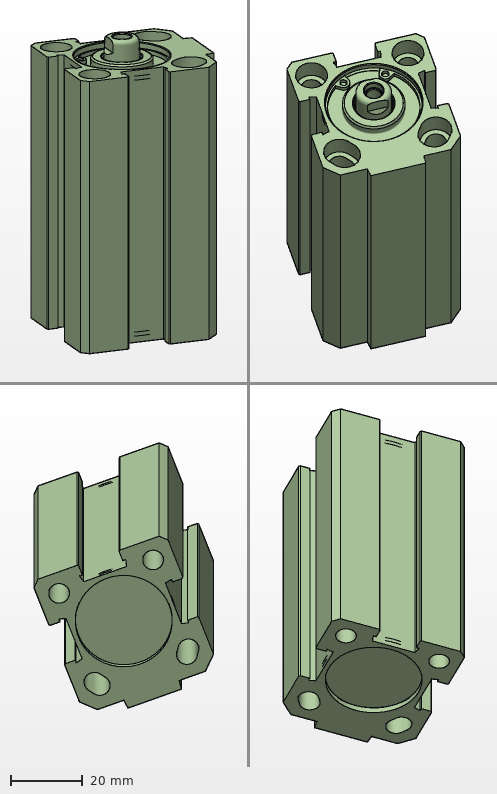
import cadquery as cq
import math


total_height = 85.0
body_height = 79.5
body_half_width = 20.02
body_back_y = 21.9

tab_top_y = 24.52
tab_top_half_width = 8.0
tab_base_half_width = 8.25
front_corner_chamfer = 1.95
back_corner_chamfer = 3.9

slot_mouth_half_width = 6.0
slot_mouth_chamfer = 0.3
slot_undercut_half_width = 6.9
slot_floor_half_width = 6.4
slot_lip_depth = 3.2
slot_floor_depth = 5.2

mount_offset = 14.0
mount_hole_diameter = 5.8
counterbore_diameter = 8.8
counterbore_depth = 5.8
slot_travel_x = 1.0
slot_travel_y = 1.45

bore_diameter = 27.0
bore_rim_chamfer = 0.25
groove_diameter = 29.4
ring_thickness = 1.2
ring_top_depth = 1.8
flange_top_depth = ring_top_depth + ring_thickness

ring_outer_diameter = 28.4
ring_inner_diameter = 25.8
ring_turn = -1.4
ear_angle = 30.6
ear_center_radius = 11.9
ear_radius = 1.8
ear_hole_diameter = 2.0
ear_root_angle = 41.0

gap_angle = ear_angle - math.degrees(math.asin(ear_radius / ear_center_radius))

cover_diameter = 26.9
cover_bottom_depth = 12.75
boss_diameter = 17.5
boss_top_depth = 0.25
boss_chamfer = 0.5
boss_root_fillet = 0.3
cover_hole_diameter = 10.45
wiper_recess_diameter = 11.4
wiper_recess_depth = 1.0
wiper_recess_chamfer = 0.25
cover_hole_chamfer = 0.25

rod_diameter = 10.0
rod_end_fillet = 1.3
flats_width = 8.0
flats_bottom_height = 1.95
rod_recess_diameter = 5.3
rod_recess_depth = 2.1
rod_recess_chamfer = 0.25
tap_hole_chamfer = 0.25
tap_hole_diameter = 4.2
tap_hole_depth = 10.2
drill_point_angle = 118.0


def cylinder(diameter, bottom, top):
    return cq.Workplane("XY").workplane(offset=bottom).circle(diameter / 2).extrude(top - bottom)


def countersink(hole_diameter, chamfer, top):
    """45 degree cone that chamfers the upper rim of a hole on the Z axis."""
    radius = hole_diameter / 2
    cone = cq.Solid.makeCone(radius, radius + chamfer, chamfer, pnt=cq.Vector(0, 0, top - chamfer))
    return cq.Workplane(obj=cone)


def half_outline():
    """Right half of the housing outline, from the front slot up to the tab, without the side slot."""
    return [
        (0, -body_half_width),
        (body_half_width - front_corner_chamfer, -body_half_width),
        (body_half_width, -body_half_width + front_corner_chamfer),
        (body_half_width, body_back_y - back_corner_chamfer),
        (body_half_width - back_corner_chamfer, body_back_y),
        (tab_base_half_width, body_back_y),
        (tab_top_half_width, tab_top_y),
        (0, tab_top_y),
    ]


def sensor_slot(turn):
    """Undercut slot along the full height of the front face, turned about Z to another face."""
    face = -body_half_width
    half = [
        (slot_mouth_half_width + slot_mouth_chamfer, face),
        (slot_mouth_half_width, face + slot_mouth_chamfer),
        (slot_mouth_half_width, face + slot_lip_depth),
        (slot_undercut_half_width, face + slot_lip_depth),
        (slot_floor_half_width, face + slot_floor_depth),
    ]
    mirrored = [(-x, y) for x, y in reversed(half)]
    slot = cq.Workplane("XY").polyline(half + mirrored).close().extrude(body_height)
    return slot.rotate((0, 0, 0), (0, 0, 1), turn)


def stretched_hole(side, diameter, bottom):
    """Slotted hole in a back corner, open at the top of the housing."""
    length = math.hypot(slot_travel_x, slot_travel_y) + diameter
    angle = math.degrees(math.atan2(slot_travel_y, -side * slot_travel_x))
    center = (side * (mount_offset - slot_travel_x / 2), mount_offset + slot_travel_y / 2)
    return (
        cq.Workplane("XY").workplane(offset=bottom).center(*center)
        .slot2D(length, diameter, angle).extrude(body_height - bottom)
    )


def round_hole(side, diameter, bottom):
    """Round hole in a front corner, open at the top of the housing."""
    return cylinder(diameter, bottom, body_height).translate((side * mount_offset, -mount_offset, 0))


def make_housing():
    right = half_outline()
    left = [(-x, y) for x, y in reversed(right[1:-1])]
    housing = cq.Workplane("XY").polyline(right + left).close().extrude(body_height)
    for turn in (-90, 0, 90):
        housing = housing.cut(sensor_slot(turn))
    counterbore_floor = body_height - counterbore_depth
    for side in (-1, 1):
        for corner_hole in (round_hole, stretched_hole):
            housing = housing.cut(corner_hole(side, mount_hole_diameter, 0))
            housing = housing.cut(corner_hole(side, counterbore_diameter, counterbore_floor))
    housing = housing.cut(cylinder(bore_diameter, body_height - cover_bottom_depth, body_height))
    housing = housing.cut(countersink(bore_diameter, bore_rim_chamfer, body_height))
    housing = housing.cut(cylinder(bore_diameter, 0, flange_top_depth))
    for groove_bottom in (ring_top_depth, body_height - flange_top_depth):
        housing = housing.cut(cylinder(groove_diameter, groove_bottom, groove_bottom + ring_thickness))
    return housing


def polar(radius, angle):
    """Point at an angle in degrees from -Y, positive towards +X."""
    return (radius * math.sin(math.radians(angle)), -radius * math.cos(math.radians(angle)))


def make_ear(bottom, top):
    """Right-hand ear of the snap ring: a round pad with a web that runs into the ring."""
    outer = ring_outer_diameter / 2
    inner = ring_inner_diameter / 2
    middle = (inner + outer) / 2
    center = polar(ear_center_radius, ear_angle)
    root = polar(inner, ear_root_angle)
    toward_root = math.atan2(root[1] - center[1], root[0] - center[0])
    tangent_angle = toward_root + math.acos(ear_radius / math.dist(root, center))
    tangent = (
        center[0] + ear_radius * math.cos(tangent_angle),
        center[1] + ear_radius * math.sin(tangent_angle),
    )
    gap_tangent = polar(math.sqrt(ear_center_radius**2 - ear_radius**2), gap_angle)
    web_outline = [center, tangent, root, polar(middle, ear_angle), polar(middle, gap_angle), gap_tangent]
    web = cq.Workplane("XY").workplane(offset=bottom).polyline(web_outline).close().extrude(top - bottom)
    pad = cylinder(2 * ear_radius, bottom, top).translate((*center, 0))
    hole = cylinder(ear_hole_diameter, bottom, top).translate((*center, 0))
    return web.union(pad).cut(hole)


def make_ring():
    bottom = body_height - flange_top_depth
    top = body_height - ring_top_depth
    ring = cylinder(ring_outer_diameter, bottom, top).cut(cylinder(ring_inner_diameter, bottom, top))
    gap_outline = [
        (0, 0),
        polar(ring_outer_diameter, -gap_angle),
        polar(ring_outer_diameter, gap_angle),
    ]
    gap = cq.Workplane("XY").workplane(offset=bottom).polyline(gap_outline).close().extrude(ring_thickness)
    ear = make_ear(bottom, top)
    ring = ring.cut(gap).union(ear).union(ear.mirror("YZ"))
    return ring.rotate((0, 0, 0), (0, 0, 1), ring_turn)


def make_cover():
    bottom = body_height - cover_bottom_depth
    flange_top = body_height - flange_top_depth
    boss_top = body_height - boss_top_depth
    boss_radius = boss_diameter / 2
    sag = boss_root_fillet * (1 - math.sqrt(0.5))
    cover = (
        cq.Workplane("XZ")
        .moveTo(0, bottom)
        .lineTo(cover_diameter / 2, bottom)
        .lineTo(cover_diameter / 2, flange_top)
        .lineTo(boss_radius + boss_root_fillet, flange_top)
        .threePointArc((boss_radius + sag, flange_top + sag), (boss_radius, flange_top + boss_root_fillet))
        .lineTo(boss_radius, boss_top - boss_chamfer)
        .lineTo(boss_radius - boss_chamfer, boss_top)
        .lineTo(0, boss_top)
        .close().revolve(360, (0, 0), (0, 1))
    )
    recess_floor = boss_top - wiper_recess_depth
    cover = cover.cut(cylinder(cover_hole_diameter, bottom, boss_top))
    cover = cover.cut(countersink(cover_hole_diameter, cover_hole_chamfer, recess_floor))
    cover = cover.cut(cylinder(wiper_recess_diameter, recess_floor, boss_top))
    return cover.cut(countersink(wiper_recess_diameter, wiper_recess_chamfer, boss_top))


def make_rod():
    rod = cylinder(rod_diameter, body_height - cover_bottom_depth, total_height)
    rod = rod.faces(">Z").edges().fillet(rod_end_fillet)
    half_flats = flats_width / 2
    flats_bottom = body_height + flats_bottom_height
    flat_outline = [
        (half_flats, total_height),
        (half_flats, flats_bottom),
        (rod_diameter, flats_bottom - (rod_diameter - half_flats)),
        (rod_diameter, total_height),
    ]
    flat_cut = cq.Workplane("YZ").polyline(flat_outline).close().extrude(rod_diameter, both=True)
    rod = rod.cut(flat_cut).cut(flat_cut.mirror("XZ"))
    recess_floor = total_height - rod_recess_depth
    rod = rod.cut(cylinder(rod_recess_diameter, recess_floor, total_height))
    rod = rod.cut(countersink(rod_recess_diameter, rod_recess_chamfer, total_height))
    rod = rod.cut(countersink(tap_hole_diameter, tap_hole_chamfer, recess_floor))
    drill_bottom = total_height - tap_hole_depth
    point_depth = tap_hole_diameter / 2 / math.tan(math.radians(drill_point_angle / 2))
    drill_outline = [
        (0, total_height),
        (tap_hole_diameter / 2, total_height),
        (tap_hole_diameter / 2, drill_bottom),
        (0, drill_bottom - point_depth),
    ]
    drill = cq.Workplane("XZ").polyline(drill_outline).close().revolve(360, (0, 0), (0, 1))
    return rod.cut(drill)


housing = make_housing()
cover = make_cover()
ring = make_ring()
rod = make_rod()

result = cq.Compound.makeCompound([housing.val(), cover.val(), ring.val(), rod.val()])